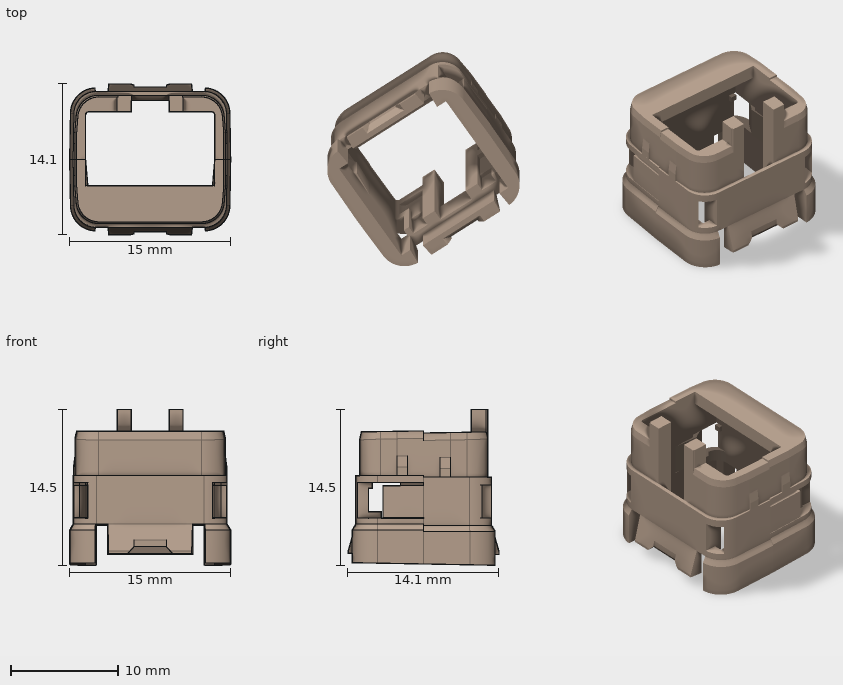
import cadquery as cq
import math

post_top = 14.5
ledge_z = 8.22
band_bottom = 3.72
skirt_shoulder = 3.16
bottom_rise = 0.24
front_lift = 0.12
ceiling_z = 11.12

band = dict(depth=6.33, side=7.17, radius=2.08, lean=1.0, kink=0)
upper = dict(depth=5.97, side=7.0, radius=2.1, lean=4.4, kink=2.49)
skirt_offset = 0.33
skirt_depth = band["depth"] + skirt_offset

top_tilt = 0.9
rear_seam_top = 12.33
front_seam_top = 12.4
rim_slope_height = 0.7
rim_slope_width = 0.16

cavity_x = 6
opening_front = 2.43
opening_rear = 4.42
opening_radius = 0.3
front_wall_inside = 5.13
gap_wall_inside = 5.46

recess_y = 4.86
recess_flat_x = 4.95
recess_radius = 0.85
recess_bottom = 6.9
beside_posts_y = 5.2
tab_start = 4.64
tab_front = opening_rear
tab_top = 8.61

post_inner = 1.75
post_outer = 3.08
post_step = 0.08
post_step_y = 5.79
gap_slope_bottom = 7.15

rib_inner = 1.5
rib_proud = 0.14
rib_top = 10.04
rib_knee = 9.02

window_x = 5.82
window_bottom = 4.4
window_top = 7.71
window_end = 6.22
arm_length = 3.8
arm_bottom = 4.44
arm_top = 7.41
arm_inside = 6.57
hook_x = 5.79
hook_nose_x = 5.97
hook_nose_y = 2.7
lip_end = 2.18
stop_start = 3.95
stop_top = 5.01
stop_radius = front_wall_inside - stop_start
catch_start = 4.77
catch_width = 0.6
catch_bottom = 7.17
pocket_x = 5.2
pocket_y = 5.45
pocket_top = 7.47
pocket_hole_end = 6.7

gap_inner_x = 5.01
gap_outer_x = 5.13
clip_inner_x = 3.99
clip_outer_x = 3.85
clip_inside = 5.8
tip_to_tip = 14.05
clip_tip = tip_to_tip / 2
clip_bottom = 0.99
clip_tip_top = 1.23
notch_half = 1.5
notch_wide = 2.08
notch_y = 6.75
notch_knee = 1.62
notch_top = 2.42
notch_undercut = 0.45

reach = 18
overlap = 0.08


def box(x0, x1, y0, y1, z0, z1):
    return cq.Workplane("XY").box(x1 - x0, y1 - y0, z1 - z0, centered=False).translate((x0, y0, z0))


def level(z):
    return cq.Workplane("XY", origin=(0, 0, z))


def both_sides(solid):
    return solid.union(solid.mirror("YZ"))


def yz_prism(points, x0, x1):
    return cq.Workplane("YZ", origin=(x0, 0, 0)).polyline(points).close().extrude(x1 - x0)


def half_outline(plane, depth, side, radius, lean, kink, grow=0, seam=0):
    """Half of a rounded outline: leaning sides run tangent into the two rear corners."""
    lean = math.radians(lean)
    center_y = depth - radius
    straight_end = center_y + radius * math.sin(lean)
    flat = side - math.tan(lean) * (straight_end - kink) - radius * math.cos(lean)
    r = radius + grow

    def on_corner(angle):
        return flat + r * math.cos(angle), center_y + r * math.sin(angle)

    end_x, end_y = on_corner(lean)
    mid_x, mid_y = on_corner((lean + math.pi / 2) / 2)
    seam_x = end_x + math.tan(lean) * (end_y - kink)
    wire = plane.moveTo(seam_x, seam)
    if kink > seam:
        wire = wire.lineTo(seam_x, kink)
    wire = (
        wire.lineTo(end_x, end_y)
        .threePointArc((mid_x, mid_y), (flat, depth + grow))
        .lineTo(-flat, depth + grow)
        .threePointArc((-mid_x, mid_y), (-end_x, end_y))
    )
    if kink > seam:
        wire = wire.lineTo(-seam_x, kink)
    return wire.lineTo(-seam_x, seam).close()


def tilted_top(seam_top, tilt):
    """Steep-sided block whose flat top leans along Y; it shapes the rim of the upper storey."""
    t = math.radians(tilt)
    top = cq.Plane(origin=(0, 0, seam_top), xDir=(1, 0, 0), normal=(0, -math.sin(t), math.cos(t)))
    drop = 2 * rim_slope_height
    low = cq.Workplane(top).workplane(offset=-drop)
    low_wire = half_outline(low, **upper, grow=rim_slope_width, seam=-overlap).val()
    top_wire = half_outline(cq.Workplane(top), **upper, grow=-rim_slope_width, seam=-overlap).val()
    return cq.Workplane(cq.Solid.makeLoft([low_wire, top_wire], True))


def upper_half(seam_top, tilt):
    split = seam_top - 1.5 * rim_slope_height
    storey = half_outline(level(ledge_z), **upper).extrude(split - ledge_z)
    rim = half_outline(level(split), **upper).extrude(reach - split)
    return storey.union(rim.intersect(tilted_top(seam_top, tilt)))


def lower_half():
    """Middle band, the slope below it and the wider skirt."""
    body = half_outline(level(band_bottom), **band).extrude(ledge_z - band_bottom)
    slope_top = half_outline(level(band_bottom), **band).val()
    slope_low = half_outline(level(skirt_shoulder), **band, grow=skirt_offset).val()
    slope = cq.Workplane(cq.Solid.makeLoft([slope_low, slope_top], True))
    skirt = half_outline(level(-front_lift), **band, grow=skirt_offset).extrude(skirt_shoulder + front_lift)
    return body.union(slope).union(skirt)


def side_ribs():
    """Low wedges on the sides of the upper storey, standing on the ledge."""
    side = upper["side"]
    profile = [
        (side - overlap, ledge_z),
        (side + rib_proud, ledge_z),
        (side + rib_proud, rib_knee),
        (side, rib_top),
        (side - overlap, rib_top),
    ]
    rib = cq.Workplane("XZ", origin=(0, upper["kink"], 0)).polyline(profile).close()
    return both_sides(rib.extrude(upper["kink"] - rib_inner))


def skirt_gap():
    """Opening in the skirt between its two corners, slightly wider outside."""
    outline = [
        (-gap_inner_x, 0),
        (gap_inner_x, 0),
        (gap_inner_x, front_wall_inside),
        (gap_outer_x, skirt_depth),
        (gap_outer_x, reach),
        (-gap_outer_x, reach),
        (-gap_outer_x, skirt_depth),
        (-gap_inner_x, front_wall_inside),
    ]
    return level(-reach).polyline(outline).close().extrude(reach + band_bottom)


def clip():
    """Snap wedge hanging from the band, with a notch in its tip."""
    profile = [
        (clip_inside, band_bottom + overlap),
        (band["depth"], band_bottom + overlap),
        (band["depth"], band_bottom),
        (clip_tip, clip_tip_top),
        (clip_tip, clip_bottom),
        (clip_inside, clip_bottom),
    ]
    wedge = yz_prism(profile, -clip_inner_x, clip_inner_x)
    plan = [
        (-clip_inner_x, clip_inside),
        (clip_inner_x, clip_inside),
        (clip_outer_x, clip_tip),
        (-clip_outer_x, clip_tip),
    ]
    wedge = wedge.intersect(level(0).polyline(plan).close().extrude(reach))
    notch = [
        (-notch_half, notch_top),
        (notch_half, notch_top),
        (notch_half, notch_knee),
        (notch_wide, clip_bottom),
        (-notch_wide, clip_bottom),
        (-notch_half, notch_knee),
    ]
    face_on = cq.Workplane("XZ").polyline(notch).close().extrude(-reach)
    depth = [
        (notch_y, notch_top),
        (reach, notch_top),
        (reach, clip_bottom),
        (notch_y - notch_undercut, clip_bottom),
        (notch_y, notch_knee),
    ]
    return wedge.cut(face_on.intersect(yz_prism(depth, -notch_wide, notch_wide)))


def half(seam_top, tilt):
    body = lower_half().union(upper_half(seam_top, tilt)).union(side_ribs())
    return body.cut(skirt_gap()).union(clip())


def recess():
    """Hollow in the inside of the rear wall, rounded towards the rear corners."""
    center_y = recess_y - recess_radius
    start_angle = math.asin((opening_rear - center_y) / recess_radius)
    mid_angle = (start_angle + math.pi / 2) / 2
    start_x = recess_flat_x + recess_radius * math.cos(start_angle)
    mid_x = recess_flat_x + recess_radius * math.cos(mid_angle)
    mid_y = center_y + recess_radius * math.sin(mid_angle)
    return (
        level(recess_bottom)
        .moveTo(start_x, opening_rear)
        .threePointArc((mid_x, mid_y), (recess_flat_x, recess_y))
        .lineTo(-recess_flat_x, recess_y)
        .threePointArc((-mid_x, mid_y), (-start_x, opening_rear))
        .close()
        .extrude(ceiling_z - recess_bottom)
    )


def cavity():
    """Room below the top plate, the opening through it and the recess in the rear wall."""
    room = box(-cavity_x, cavity_x, -front_wall_inside, opening_rear, -reach, ceiling_z)
    room = room.edges("|Z and >Y").fillet(opening_radius)
    rear_room = box(-cavity_x, cavity_x, 0, beside_posts_y, -reach, recess_bottom)
    corner_room = box(-cavity_x, cavity_x, 0, recess_y, -reach, arm_top)
    opening = box(-cavity_x, cavity_x, -opening_front, opening_rear, 0, reach)
    opening = opening.edges("|Z and >Y").fillet(opening_radius)
    return room.union(rear_room).union(corner_room).union(opening).union(recess())


def post_gap():
    """Gap in the rear wall between the posts, with a slope down to the inside of the band wall."""
    profile = [
        (reach, reach),
        (reach, ledge_z),
        (upper["depth"], ledge_z),
        (gap_wall_inside, gap_slope_bottom),
        (gap_wall_inside, 0),
        (opening_rear, 0),
        (opening_rear, reach),
    ]
    return yz_prism(profile, -post_inner, post_inner)


def posts():
    outline = [
        (post_inner, opening_rear),
        (post_outer, opening_rear),
        (post_outer, post_step_y),
        (post_outer - post_step, post_step_y),
        (post_outer - post_step, upper["depth"]),
        (post_inner, upper["depth"]),
    ]
    return both_sides(level(band_bottom).polyline(outline).close().extrude(post_top - band_bottom))


def front_windows():
    """Openings at the front corners, left thicker inside beside the latch arms."""
    window = box(window_x, reach, -window_end, 0, window_bottom, window_top)
    lip = box(cavity_x, arm_inside, -lip_end, 0, arm_top, window_top)
    return both_sides(window.cut(lip))


def latch_arms():
    """Spring arms in the front windows, each with an inward hook."""
    outline = [
        (reach, 0),
        (cavity_x, 0),
        (hook_x, -opening_front),
        (hook_nose_x, -hook_nose_y),
        (arm_inside, -arm_length),
        (reach, -arm_length),
    ]
    arm = level(arm_bottom).polyline(outline).close().extrude(arm_top - arm_bottom)
    skin = half_outline(level(0), **band).extrude(reach)
    return both_sides(arm).intersect(skin.union(skin.mirror("XZ")))


def rear_pockets():
    """Rear corner pockets, open to the cavity past the upright tabs."""
    pocket = box(pocket_x, reach, pocket_y, reach, window_bottom, pocket_top)
    hole = box(pocket_x, pocket_hole_end, tab_front, pocket_y + overlap, window_bottom, pocket_top)
    return both_sides(pocket.union(hole))


def rear_tabs():
    """Upright tabs beside the pockets, reaching up into the recess."""
    lower = box(tab_start, pocket_x, tab_front, pocket_y + overlap, band_bottom, tab_top)
    bridge = box(tab_start, cavity_x, tab_front, recess_y + overlap, pocket_top, tab_top)
    return both_sides(lower.union(bridge))


def catches():
    """Small blocks on the inside of the front wall, at the top of the windows."""
    x0 = window_x - catch_width
    wall_y = -front_wall_inside - overlap
    return both_sides(box(x0, window_x, wall_y, -catch_start, catch_bottom, window_top))


def corner_stop():
    """Low concave fillet at the foot of one front corner of the cavity."""
    x = window_x
    y = -front_wall_inside
    mid = stop_radius * (1 - math.sqrt(0.5))
    return (
        level(band_bottom + front_lift)
        .moveTo(x, y - overlap)
        .lineTo(x, -stop_start)
        .threePointArc((x - mid, y + mid), (x - stop_radius, y))
        .lineTo(x - stop_radius, y - overlap)
        .close()
        .extrude(stop_top - band_bottom - front_lift)
    )


rear = half(rear_seam_top, top_tilt)
front = half(front_seam_top, -top_tilt).mirror("XZ").translate((0, 0, front_lift))
housing = rear.union(front)

underside = [(skirt_depth, 0), (-skirt_depth, bottom_rise), (-skirt_depth, -reach), (skirt_depth, -reach)]
housing = housing.cut(yz_prism(underside, -reach, reach))

housing = housing.cut(cavity()).union(posts()).cut(post_gap())
housing = housing.cut(front_windows()).union(latch_arms())
housing = housing.union(rear_tabs()).cut(rear_pockets())
result = housing.union(catches()).union(corner_stop())